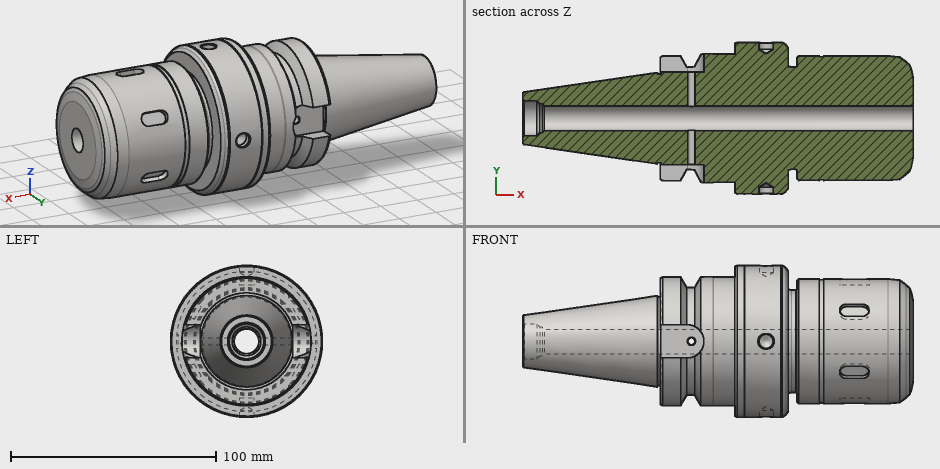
import cadquery as cq
import math

TOTAL_LENGTH = 190.4

TAPER_LENGTH = 65.5
TAPER_SMALL_R = 12.8
TAPER_RATIO = 7 / 24
TAPER_CHAMFER = 0.5
RELIEF_R = 43.5 / 2
RELIEF_LEAD = 0.4

FLANGE_START = 67.0
FLANGE_R = 63.0 / 2
FLANGE_CHAMFER_LENGTH = 1.1
FLANGE_CHAMFER_HEIGHT = 0.8
FACE_RECESS_R = 23.6
FACE_RECESS_DEPTH = 0.4
V_CENTRE = 81.9
V_BOTTOM_WIDTH = 3.8
V_BOTTOM_R = 26.3
V_HALF_ANGLE = 30.0
FLANGE_STEP_X = 92.5
FLANGE_STEP_LENGTH = 0.4
FLANGE_STEP_HEIGHT = 0.1

COLLAR_START = 103.4
COLLAR_END = 129.5
COLLAR_R = 74.0 / 2
COLLAR_REAR_CHAMFER_LENGTH = 1.1
COLLAR_REAR_CHAMFER_HEIGHT = 0.5
COLLAR_GROOVES = (108.0, 125.7)
COLLAR_GROOVE_WIDTH = 0.4
COLLAR_GROOVE_DEPTH = 0.2
COLLAR_FRONT_START = 126.6
COLLAR_FRONT_KNEE_X = 128.1
COLLAR_FRONT_KNEE_R = 36.0
COLLAR_FRONT_R = 34.3

NECK_R = 50.0 / 2
NECK_REAR_CHAMFER = 1.3
NECK_FRONT_CHAMFER = 0.5
NECK_CHAMFER_HEIGHT = 0.4
NUT_START = 133.7
NUT_R = 30.5
NUT_CHAMFER = 1.0
NUT_GROOVE_START = 144.5
NUT_GROOVE_WIDTH = 2.3
NUT_GROOVE_DEPTH = 0.4
NUT_CROWN = ((177.8, NUT_R), (183.7, 29.9), (186.5, 27.8), (188.7, 25.9), (189.5, 24.0))
NOSE_R = 19.5

BORE_R = 12.0 / 2
PILOT_R = 14.0 / 2
PILOT_DEPTH = 9.5
COUNTERBORE_R = 17.0 / 2
COUNTERBORE_DEPTH = 6.9
MOUTH_CHAMFER = 0.8

SLOT_WIDTH = 16.2
SLOT_END_X = 88.3
SLOT_FLOOR = 22.7
SLOT_COUNT = 2
SLOT_FIRST_ANGLE = 90.0
COOLANT_X = 82.3
COOLANT_D = 3.5
COOLANT_MOUTH_D = 4.0

SCREW_X = 118.6
SCREW_D = 6.9
SCREW_MOUTH_D = 8.0
SCREW_DEPTH = 3.5
SCREW_TIP_ANGLE = 118.0
SCREW_COUNT = 4

WRENCH_X = 161.6
WRENCH_LENGTH = 14.3
WRENCH_WIDTH = 6.9
WRENCH_DEPTH = 2.9
WRENCH_COUNT = 6


def make_body():
    """Solid of revolution carrying every turned outer surface."""
    taper_large_r = TAPER_SMALL_R + TAPER_RATIO / 2 * TAPER_LENGTH
    v_inner = V_BOTTOM_WIDTH / 2
    v_outer = v_inner + (FLANGE_R - V_BOTTOM_R) * math.tan(math.radians(V_HALF_ANGLE))
    rear_r = FLANGE_R - FLANGE_STEP_HEIGHT
    outline = [
        (0, 0),
        (0, TAPER_SMALL_R - TAPER_CHAMFER),
        (TAPER_CHAMFER, TAPER_SMALL_R + TAPER_RATIO / 2 * TAPER_CHAMFER),
        (TAPER_LENGTH, taper_large_r),
        (TAPER_LENGTH + RELIEF_LEAD, RELIEF_R),
        (FLANGE_START + FACE_RECESS_DEPTH, RELIEF_R),
        (FLANGE_START + FACE_RECESS_DEPTH, FACE_RECESS_R),
        (FLANGE_START, FACE_RECESS_R),
        (FLANGE_START, FLANGE_R - FLANGE_CHAMFER_HEIGHT),
        (FLANGE_START + FLANGE_CHAMFER_LENGTH, FLANGE_R),
        (V_CENTRE - v_outer, FLANGE_R),
        (V_CENTRE - v_inner, V_BOTTOM_R),
        (V_CENTRE + v_inner, V_BOTTOM_R),
        (V_CENTRE + v_outer, FLANGE_R),
        (FLANGE_STEP_X, FLANGE_R),
        (FLANGE_STEP_X + FLANGE_STEP_LENGTH, rear_r),
        (COLLAR_START, rear_r),
        (COLLAR_START, COLLAR_R - COLLAR_REAR_CHAMFER_HEIGHT),
        (COLLAR_START + COLLAR_REAR_CHAMFER_LENGTH, COLLAR_R),
        (COLLAR_FRONT_START, COLLAR_R),
        (COLLAR_FRONT_KNEE_X, COLLAR_FRONT_KNEE_R),
        (COLLAR_END, COLLAR_FRONT_R),
        (COLLAR_END, NECK_R + NECK_CHAMFER_HEIGHT),
        (COLLAR_END + NECK_REAR_CHAMFER, NECK_R),
        (NUT_START - NECK_FRONT_CHAMFER, NECK_R),
        (NUT_START, NECK_R + NECK_CHAMFER_HEIGHT),
        (NUT_START, NUT_R - NUT_CHAMFER),
        (NUT_START + NUT_CHAMFER, NUT_R),
        *NUT_CROWN,
        (TOTAL_LENGTH, NOSE_R),
        (TOTAL_LENGTH, 0),
    ]
    profile = cq.Workplane("XY").polyline(outline).close()
    return profile.revolve(360, (0, 0, 0), (1, 0, 0))


def ring_groove(start, width, outer_r, depth):
    """Ring that cuts a groove of the given depth into a cylinder of radius outer_r."""
    plane = cq.Workplane("YZ", origin=(start, 0, 0))
    ring = plane.circle(outer_r + depth).circle(outer_r - depth)
    return ring.extrude(width)


def axial_bore():
    """Through bore with a pilot step and a chamfered counterbore at the shank end."""
    outline = [
        (0, 0),
        (0, COUNTERBORE_R + MOUTH_CHAMFER),
        (MOUTH_CHAMFER, COUNTERBORE_R),
        (COUNTERBORE_DEPTH, COUNTERBORE_R),
        (COUNTERBORE_DEPTH + COUNTERBORE_R - PILOT_R, PILOT_R),
        (PILOT_DEPTH, PILOT_R),
        (PILOT_DEPTH + PILOT_R - BORE_R, BORE_R),
        (TOTAL_LENGTH, BORE_R),
        (TOTAL_LENGTH, 0),
    ]
    profile = cq.Workplane("XY").polyline(outline).close()
    return profile.revolve(360, (0, 0, 0), (1, 0, 0))


def drive_slot():
    """Round-ended slot on the +Z side, open towards the shank, with its coolant hole."""
    slot_r = SLOT_WIDTH / 2
    end_centre = SLOT_END_X - slot_r
    height = FLANGE_R
    floor = cq.Workplane("XY", origin=(0, 0, SLOT_FLOOR))
    straight = floor.center((TAPER_LENGTH + end_centre) / 2, 0)
    straight = straight.rect(end_centre - TAPER_LENGTH, SLOT_WIDTH).extrude(height)
    round_end = floor.center(end_centre, 0).circle(slot_r).extrude(height)
    hole = cq.Workplane("XY").center(COOLANT_X, 0).circle(COOLANT_D / 2).extrude(SLOT_FLOOR)
    mouth_r = COOLANT_MOUTH_D / 2
    chamfer = mouth_r - COOLANT_D / 2
    mouth_base = cq.Vector(COOLANT_X, 0, SLOT_FLOOR - chamfer)
    mouth = cq.Solid.makeCone(COOLANT_D / 2, mouth_r, chamfer, mouth_base, cq.Vector(0, 0, 1))
    return straight.union(round_end).union(hole).union(cq.Workplane(mouth))


def screw_hole():
    """Chamfered blind hole with a drill-point bottom on the +Z side of the collar."""
    hole_r = SCREW_D / 2
    mouth_r = SCREW_MOUTH_D / 2
    floor = COLLAR_R - SCREW_DEPTH
    tip = floor - hole_r / math.tan(math.radians(SCREW_TIP_ANGLE / 2))
    chamfer_start = COLLAR_R - (mouth_r - hole_r)
    outline = [
        (0, tip),
        (hole_r, floor),
        (hole_r, chamfer_start),
        (mouth_r, COLLAR_R),
        (0, COLLAR_R),
    ]
    profile = cq.Workplane("XZ", origin=(SCREW_X, 0, 0)).polyline(outline).close()
    return profile.revolve(360, (0, 0, 0), (0, 1, 0))


def wrench_slot():
    """Flat-bottomed oblong slot on the +Z side of the nut."""
    floor = cq.Workplane("XY", origin=(WRENCH_X, 0, NUT_R - WRENCH_DEPTH))
    return floor.slot2D(WRENCH_LENGTH, WRENCH_WIDTH).extrude(2 * WRENCH_DEPTH)


def cut_around(body, cutter, count, first_angle=0):
    """Cut equally spaced copies of a cutter around the X axis."""
    for index in range(count):
        angle = first_angle + index * 360 / count
        body = body.cut(cutter.rotate((0, 0, 0), (1, 0, 0), angle))
    return body


result = make_body()
for groove_start in COLLAR_GROOVES:
    result = result.cut(ring_groove(groove_start, COLLAR_GROOVE_WIDTH, COLLAR_R, COLLAR_GROOVE_DEPTH))
result = result.cut(ring_groove(NUT_GROOVE_START, NUT_GROOVE_WIDTH, NUT_R, NUT_GROOVE_DEPTH))
result = result.cut(axial_bore())
result = cut_around(result, drive_slot(), SLOT_COUNT, SLOT_FIRST_ANGLE)
result = cut_around(result, screw_hole(), SCREW_COUNT)
result = cut_around(result, wrench_slot(), WRENCH_COUNT)